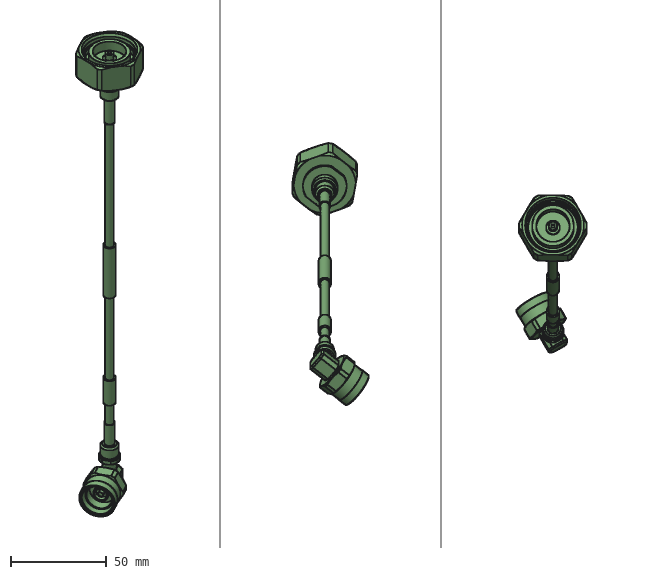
import cadquery as cq
import math


OVERALL_HEIGHT = 284.64
OVERLAP = 0.5

CABLE_RADIUS = 2.35
BOOT_RADIUS = 2.85
SLEEVE_RADIUS = 3.3
LONG_SLEEVE_TOP = 159.3
LONG_SLEEVE_LENGTH = 32.0
SHORT_SLEEVE_TOP = 74.3
SHORT_SLEEVE_LENGTH = 15.7

NUT_ACROSS_FLATS = 31.86
NUT_CORNER_RADIUS = 17.75
NUT_HEIGHT = 15.1
NUT_CHAMFER_WIDTH = 1.6
NUT_CHAMFER_HEIGHT = 0.9
NUT_BORE_RADIUS = 12.9
NUT_BORE_DEPTH = 7.0
NUT_STEP_RADIUS = 13.8
NUT_STEP_DEPTH = 4.0
NUT_MOUTH_RADIUS = 14.6
NUT_MOUTH_DEPTH = 1.6

CONTACT_TUBE_OUTER = 10.9
CONTACT_TUBE_INNER = 8.7
CONTACT_TUBE_DROP = 1.2
PIN_BASE_RADIUS = 3.6
PIN_BASE_HEIGHT = 1.4
PIN_RADIUS = 2.2
PIN_HOLE_RADIUS = 1.0
PIN_HOLE_DEPTH = 2.5
PIN_DROP = 2.2

NUT_NECK_RADIUS = 10.2
NUT_NECK_LENGTH = 1.5
FLANGE_RADIUS = 11.4
FLANGE_FLAT_OFFSET = 10.6
FLANGE_THICKNESS = 1.7
COLLAR_RADIUS = 6.7
COLLAR_LENGTH = 5.1
COLLAR_CHAMFER = 1.0
FERRULE_RADIUS = 4.95
FERRULE_LENGTH = 7.2
FERRULE_CHAMFER = 1.2
UPPER_BOOT_LENGTH = 15.8

SHELL_ACROSS_FLATS = 20.0
SHELL_CORNER_RADIUS = 10.95
SHELL_AXIS_Z = SHELL_ACROSS_FLATS / 2
OVERALL_DEPTH = 39.45
SHELL_FRONT_Y = NUT_CORNER_RADIUS - OVERALL_DEPTH
SHELL_LENGTH = 16.8
SHELL_HEX_LENGTH = 7.0
SHELL_HEX_CHAMFER_HEIGHT = 0.6
SHELL_BARREL_RADIUS = 9.7
SHELL_RIM_RADIUS = 9.85
SHELL_RIM_LENGTH = 4.4
SHELL_BORE_RADIUS = 8.5
SHELL_BORE_DEPTH = 9.0
SHELL_MOUTH_RADIUS = 9.0
SHELL_MOUTH_DEPTH = 0.6
OUTER_TUBE_OUTER = 7.6
OUTER_TUBE_INNER = 6.9
OUTER_TUBE_DROP = 3.5
SOCKET_OUTER = 4.0
SOCKET_INNER = 3.4
SOCKET_LENGTH = 3.0
SOCKET_PIN_RADIUS = 1.4

ELBOW_SIZE = 11.0
ELBOW_BACK_Y = 6.1
ELBOW_LONG_CHAMFER = 2.2
ELBOW_BACK_CHAMFER = 0.9
ELBOW_NECK_RADIUS = 3.7
CLAMP_NUT_BOTTOM = 21.6
CLAMP_NUT_RADIUS = 5.7
CLAMP_NUT_FLAT_OFFSET = 5.2
CLAMP_NUT_HEIGHT = 3.0
CLAMP_NUT_CHAMFER = 1.0
CLAMP_GROOVE_RADIUS = 4.5
CLAMP_GROOVE_WIDTH = 0.6
CLAMP_RADIUS = 4.95
CLAMP_LENGTH = 6.9
CLAMP_CHAMFER = 1.0
LOWER_BOOT_LENGTH = 13.5

NUT_BOTTOM = OVERALL_HEIGHT - NUT_HEIGHT
FLANGE_TOP = NUT_BOTTOM - NUT_NECK_LENGTH
COLLAR_TOP = FLANGE_TOP - FLANGE_THICKNESS
FERRULE_TOP = COLLAR_TOP - COLLAR_LENGTH
FERRULE_BOTTOM = FERRULE_TOP - FERRULE_LENGTH
UPPER_BOOT_BOTTOM = FERRULE_BOTTOM - UPPER_BOOT_LENGTH
GROOVE_BOTTOM = CLAMP_NUT_BOTTOM + CLAMP_NUT_HEIGHT
CLAMP_BOTTOM = GROOVE_BOTTOM + CLAMP_GROOVE_WIDTH
CLAMP_TOP = CLAMP_BOTTOM + CLAMP_LENGTH
LOWER_BOOT_TOP = CLAMP_TOP + LOWER_BOOT_LENGTH


def rod(radius, bottom, top):
    """Upright cylinder on the Z axis."""
    return cq.Workplane("XY").workplane(offset=bottom).circle(radius).extrude(top - bottom)


def revolved(profile):
    """Turned solid on the Z axis from (radius, height) points."""
    return cq.Workplane("XZ").polyline(profile).close().revolve(360, (0, 0, 0), (0, 1, 0))


def hexagon_nut(across_flats, corner_radius, bottom, height, chamfer_width, chamfer_height):
    """Hexagon with flats facing +X and -X, corners turned round and ends chamfered."""
    top = bottom + height
    end_radius = corner_radius - chamfer_width
    corner_distance = across_flats / math.cos(math.radians(30))
    prism = (
        cq.Workplane("XY")
        .workplane(offset=bottom)
        .transformed(rotate=(0, 0, 30))
        .polygon(6, corner_distance)
        .extrude(height)
    )
    turned = revolved([
        (0, bottom),
        (end_radius, bottom),
        (corner_radius, bottom + chamfer_height),
        (corner_radius, top - chamfer_height),
        (end_radius, top),
        (0, top),
    ])
    return prism.intersect(turned)


def facing_front(solid):
    """Turn a solid built along Z so that its top faces -Y at the shell front."""
    return solid.rotate((0, 0, 0), (1, 0, 0), 90).translate((0, SHELL_FRONT_Y, SHELL_AXIS_Z))


def make_cable():
    return rod(CABLE_RADIUS, CLAMP_TOP, FERRULE_BOTTOM)


def make_sleeve(top, length):
    return rod(SLEEVE_RADIUS, top - length, top).cut(rod(CABLE_RADIUS, top - length, top))


def make_straight_plug():
    plug = hexagon_nut(
        NUT_ACROSS_FLATS, NUT_CORNER_RADIUS, NUT_BOTTOM, NUT_HEIGHT,
        NUT_CHAMFER_WIDTH, NUT_CHAMFER_HEIGHT,
    )

    bore_floor = OVERALL_HEIGHT - NUT_BORE_DEPTH
    plug = plug.cut(revolved([
        (0, bore_floor),
        (NUT_BORE_RADIUS, bore_floor),
        (NUT_BORE_RADIUS, OVERALL_HEIGHT - NUT_STEP_DEPTH),
        (NUT_STEP_RADIUS, OVERALL_HEIGHT - NUT_STEP_DEPTH),
        (NUT_STEP_RADIUS, OVERALL_HEIGHT - NUT_MOUTH_DEPTH),
        (NUT_MOUTH_RADIUS, OVERALL_HEIGHT),
        (0, OVERALL_HEIGHT),
    ]))

    tube_top = OVERALL_HEIGHT - CONTACT_TUBE_DROP
    tube = rod(CONTACT_TUBE_OUTER, bore_floor - OVERLAP, tube_top)
    plug = plug.union(tube.cut(rod(CONTACT_TUBE_INNER, bore_floor, tube_top)))
    pin_top = OVERALL_HEIGHT - PIN_DROP
    plug = plug.union(rod(PIN_BASE_RADIUS, bore_floor - OVERLAP, bore_floor + PIN_BASE_HEIGHT))
    plug = plug.union(rod(PIN_RADIUS, bore_floor - OVERLAP, pin_top))
    plug = plug.cut(rod(PIN_HOLE_RADIUS, pin_top - PIN_HOLE_DEPTH, pin_top))

    plug = plug.union(rod(NUT_NECK_RADIUS, COLLAR_TOP, NUT_BOTTOM + OVERLAP))
    flats = (
        cq.Workplane("XY")
        .workplane(offset=COLLAR_TOP)
        .rect(2 * FLANGE_FLAT_OFFSET, 2 * FLANGE_RADIUS)
        .extrude(FLANGE_THICKNESS)
    )
    plug = plug.union(rod(FLANGE_RADIUS, COLLAR_TOP, FLANGE_TOP).intersect(flats))

    collar = rod(COLLAR_RADIUS, FERRULE_TOP, COLLAR_TOP + OVERLAP)
    plug = plug.union(collar.faces("<Z").chamfer(COLLAR_CHAMFER))
    ferrule = rod(FERRULE_RADIUS, FERRULE_BOTTOM, FERRULE_TOP + OVERLAP)
    plug = plug.union(ferrule.faces("<Z").chamfer(FERRULE_CHAMFER))
    plug = plug.union(rod(BOOT_RADIUS, UPPER_BOOT_BOTTOM, FERRULE_BOTTOM + OVERLAP))
    return plug.cut(rod(CABLE_RADIUS, UPPER_BOOT_BOTTOM, FERRULE_BOTTOM))


def make_coupling_shell():
    """Coupling shell with its open front at Z = 0 before it is turned to face -Y."""
    hex_top = SHELL_HEX_LENGTH - SHELL_LENGTH
    shell = hexagon_nut(
        SHELL_ACROSS_FLATS, SHELL_CORNER_RADIUS, -SHELL_LENGTH, SHELL_HEX_LENGTH,
        SHELL_CORNER_RADIUS - SHELL_BARREL_RADIUS, SHELL_HEX_CHAMFER_HEIGHT,
    ).rotate((0, 0, 0), (0, 0, 1), 30)
    shell = shell.union(rod(SHELL_BARREL_RADIUS, hex_top - OVERLAP, 0))
    shell = shell.union(rod(SHELL_RIM_RADIUS, -SHELL_RIM_LENGTH, 0))

    bore_floor = -SHELL_BORE_DEPTH
    shell = shell.cut(revolved([
        (0, bore_floor),
        (SHELL_BORE_RADIUS, bore_floor),
        (SHELL_BORE_RADIUS, -SHELL_MOUTH_DEPTH),
        (SHELL_MOUTH_RADIUS, 0),
        (0, 0),
    ]))

    socket_top = bore_floor + SOCKET_LENGTH
    tubes = (
        (OUTER_TUBE_OUTER, OUTER_TUBE_INNER, -OUTER_TUBE_DROP),
        (SOCKET_OUTER, SOCKET_INNER, socket_top),
    )
    for outer, inner, tube_top in tubes:
        tube = rod(outer, bore_floor - OVERLAP, tube_top)
        shell = shell.union(tube.cut(rod(inner, bore_floor, tube_top)))
    return shell.union(rod(SOCKET_PIN_RADIUS, bore_floor - OVERLAP, socket_top))


def make_angle_plug():
    plug = facing_front(make_coupling_shell())

    shell_back_y = SHELL_FRONT_Y + SHELL_LENGTH
    elbow_front_y = shell_back_y - OVERLAP
    elbow_length = ELBOW_BACK_Y - elbow_front_y
    elbow = (
        cq.Workplane("XY")
        .box(ELBOW_SIZE, elbow_length, ELBOW_SIZE)
        .edges("|Y").chamfer(ELBOW_LONG_CHAMFER)
        .faces(">Y").chamfer(ELBOW_BACK_CHAMFER)
        .translate((0, elbow_front_y + elbow_length / 2, SHELL_AXIS_Z))
    )
    plug = plug.union(elbow)
    plug = plug.union(rod(ELBOW_NECK_RADIUS, SHELL_AXIS_Z, CLAMP_NUT_BOTTOM + OVERLAP))

    clamp_nut = rod(CLAMP_NUT_RADIUS, CLAMP_NUT_BOTTOM, GROOVE_BOTTOM)
    clamp_nut = clamp_nut.faces("<Z").chamfer(CLAMP_NUT_CHAMFER)
    flats = (
        cq.Workplane("XY")
        .workplane(offset=CLAMP_NUT_BOTTOM)
        .rect(2 * CLAMP_NUT_RADIUS, 2 * CLAMP_NUT_FLAT_OFFSET)
        .extrude(CLAMP_NUT_HEIGHT)
    )
    plug = plug.union(clamp_nut.intersect(flats))

    groove_core = rod(CLAMP_GROOVE_RADIUS, GROOVE_BOTTOM - OVERLAP, CLAMP_BOTTOM + OVERLAP)
    clamp = rod(CLAMP_RADIUS, CLAMP_BOTTOM, CLAMP_TOP).faces(">Z").chamfer(CLAMP_CHAMFER)
    boot = rod(BOOT_RADIUS, CLAMP_TOP - OVERLAP, LOWER_BOOT_TOP)
    plug = plug.union(groove_core).union(clamp).union(boot)
    return plug.cut(rod(CABLE_RADIUS, CLAMP_TOP, LOWER_BOOT_TOP))


straight_plug = make_straight_plug()
angle_plug = make_angle_plug()
cable = make_cable()
sleeves = [
    make_sleeve(top, length)
    for top, length in (
        (LONG_SLEEVE_TOP, LONG_SLEEVE_LENGTH),
        (SHORT_SLEEVE_TOP, SHORT_SLEEVE_LENGTH),
    )
]

result = cq.Compound.makeCompound(
    [straight_plug.val(), angle_plug.val(), cable.val()] + [sleeve.val() for sleeve in sleeves]
)